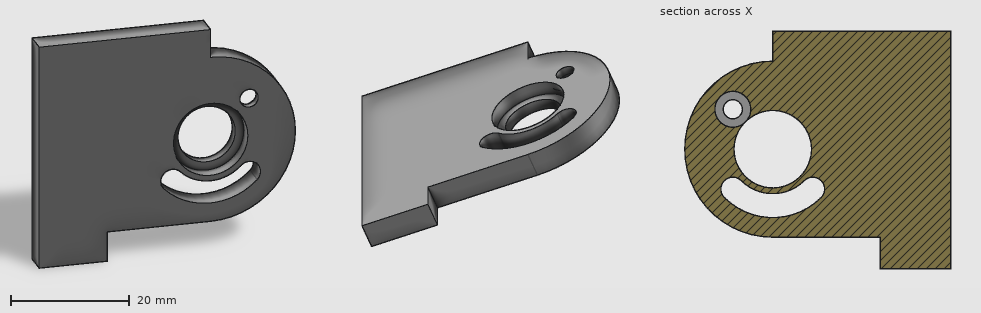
import cadquery as cq
import math

thickness = 4.5
length = 44.85
height = 40.0
nose_radius = 14.85
shoulder_drop = 5.0
nose_z = height - shoulder_drop - nose_radius
foot_length = 11.93

bore_diameter = 10.0
bore_recess_diameter = 13.0
bore_recess_depth = 2.5

pitch_radius = 9.5
pivot_angle = 135.0
pivot_diameter = 3.2
pivot_recess_diameter = 6.0
pivot_recess_depth = 3.0
slot_width = 4.0
slot_start_angle = 225.0
slot_middle_angle = 270.0
slot_end_angle = 315.0

nose_y = length - nose_radius


def polar(radius, angle):
    """Point around the nose axis; angle 0 points along -Y, 90 along +Z."""
    radians = math.radians(angle)
    return (nose_y - radius * math.cos(radians), nose_z + radius * math.sin(radians))


def cylinder(center, diameter, start_x, depth):
    """Cylinder along +X from start_x, centred on a (Y, Z) point."""
    return cq.Workplane("YZ", origin=(start_x, 0, 0)).center(*center).circle(diameter / 2).extrude(depth)


def plate():
    nose_bottom = nose_z - nose_radius
    nose_top = nose_z + nose_radius
    return (
        cq.Workplane("YZ")
        .moveTo(0, 0)
        .lineTo(foot_length, 0)
        .lineTo(foot_length, nose_bottom)
        .lineTo(nose_y, nose_bottom)
        .threePointArc((length, nose_z), (nose_y, nose_top))
        .lineTo(nose_y, height)
        .lineTo(0, height)
        .close()
        .extrude(thickness)
    )


def stepped_bore():
    """Through bore, widened from the +X face."""
    center = (nose_y, nose_z)
    bore = cylinder(center, bore_diameter, 0, thickness)
    recess = cylinder(center, bore_recess_diameter, thickness - bore_recess_depth, bore_recess_depth)
    return bore.union(recess)


def pivot_hole():
    """Through hole, counterbored from the -X face."""
    center = polar(pitch_radius, pivot_angle)
    hole = cylinder(center, pivot_diameter, 0, thickness)
    return hole.union(cylinder(center, pivot_recess_diameter, 0, pivot_recess_depth))


def arc_slot():
    """Round-ended slot curved around the bore."""
    inner = pitch_radius - slot_width / 2
    outer = pitch_radius + slot_width / 2
    cap_radius = math.hypot(pitch_radius, slot_width / 2)
    cap_angle = math.degrees(math.atan2(slot_width / 2, pitch_radius))
    return (
        cq.Workplane("YZ")
        .moveTo(*polar(inner, slot_start_angle))
        .threePointArc(polar(inner, slot_middle_angle), polar(inner, slot_end_angle))
        .threePointArc(polar(cap_radius, slot_end_angle + cap_angle), polar(outer, slot_end_angle))
        .threePointArc(polar(outer, slot_middle_angle), polar(outer, slot_start_angle))
        .threePointArc(polar(cap_radius, slot_start_angle - cap_angle), polar(inner, slot_start_angle))
        .close()
        .extrude(thickness)
    )


result = plate().cut(stepped_bore()).cut(pivot_hole()).cut(arc_slot())